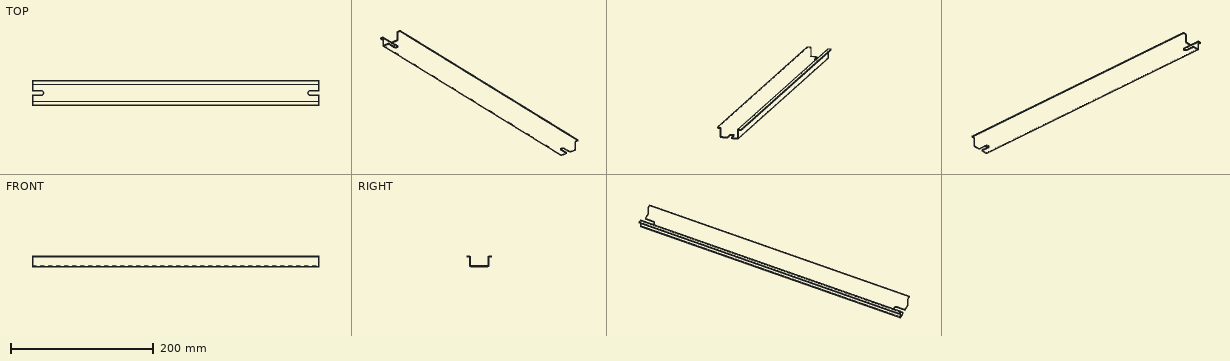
import cadquery as cq

length = 403.0
overall_width = 35.0
height = 15.0
channel_width = 27.0
sheet = 1.5
inner_radius = 0.32
outer_radius = inner_radius + sheet

slot_width = 6.0
slot_depth = 15.5


def block(width, bottom, top):
    """Full-length block centred on the XZ plane, between two heights."""
    return (
        cq.Workplane("XY")
        .box(length, width, top - bottom, centered=(True, True, False))
        .translate((0, 0, bottom))
    )


def make_rail():
    """Bent sheet: floor, two walls and two outward lips."""
    cavity_width = channel_width - 2 * sheet
    lip_underside = height - sheet

    body = block(channel_width, 0, height).union(block(overall_width, lip_underside, height))
    for side in (-1, 1):
        wall_y = side * channel_width / 2
        body = body.edges(
            cq.selectors.NearestToPointSelector((0, wall_y, lip_underside))
        ).fillet(inner_radius)
        body = body.edges(cq.selectors.NearestToPointSelector((0, wall_y, 0))).fillet(outer_radius)

    cavity = block(cavity_width, sheet, height).faces("<Z").edges("|X").fillet(inner_radius)
    rail = body.cut(cavity)
    for side in (-1, 1):
        mouth = cq.selectors.NearestToPointSelector((0, side * cavity_width / 2, height))
        rail = rail.edges(mouth).fillet(outer_radius)
    return rail


def slot_cutter(end):
    """Round-bottomed slot through the floor, open at the rail end (-1 or 1)."""
    straight = slot_depth - slot_width / 2
    round_x = end * (length / 2 - straight)
    bottom = cq.Workplane("XY").center(round_x, 0).circle(slot_width / 2).extrude(height)
    mouth = (
        cq.Workplane("XY")
        .center(end * (length - straight) / 2, 0)
        .rect(straight, slot_width)
        .extrude(height)
    )
    return bottom.union(mouth)


result = make_rail()
for end in (-1, 1):
    result = result.cut(slot_cutter(end))